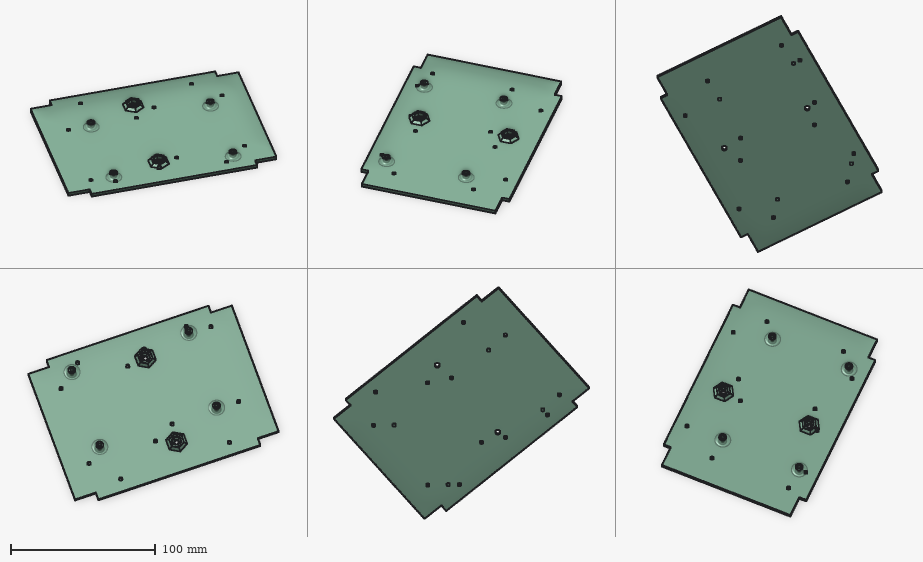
import cadquery as cq
import math

PLATE_LENGTH_X = 107.95
PLATE_LENGTH_Y = 149.9
PLATE_THICKNESS = 2.5
NOTCH_X = 5.3
NOTCH_Y = 15.3

SMALL_HOLE_DIAMETER = 2.4
BOARD_PITCH_X = 58.0
BOARD_PITCH_Y = 49.0
UPPER_BOARD_CENTER = (2.0, 32.5)
LOWER_BOARD_CENTER = (10.0, -31.5)
OUTER_PITCH_X = 90.0
OUTER_PITCH_Y = 80.0

POST_DIAMETER = 5.0
POST_HEIGHT = 4.0
POST_FLARE_RADIUS = 3.0
POST_HOLE_DIAMETER = 2.4
POST_PITCH_X = BOARD_PITCH_X
POST_PITCH_Y = 86.0
POST_CENTER = (11.0, 3.0)

BOSS_PITCH_X = 65.0
BOSS_Y = -5.5
BOSS_FLATS = 9.0
BOSS_FOOT_FLATS = 13.0
BOSS_HEIGHT = 3.0
BOSS_FOOT_HEIGHT = 2.0
NUT_FLATS = 6.0
NUT_POCKET_DEPTH = BOSS_HEIGHT
BOSS_HOLE_DIAMETER = 3.4


def rectangle_corners(center, pitch_x, pitch_y):
    """Four corner points of a rectangle around a center."""
    center_x, center_y = center
    return [
        (center_x + side_x * pitch_x / 2, center_y + side_y * pitch_y / 2)
        for side_x in (-1, 1)
        for side_y in (-1, 1)
    ]


def across_corners(across_flats):
    """Corner-to-corner size of a hexagon from its flat-to-flat size."""
    return across_flats / math.cos(math.pi / 6)


def make_plate():
    """Cross-shaped plate: a rectangle with all four corners notched."""
    wide = cq.Workplane("XY").box(
        PLATE_LENGTH_X, PLATE_LENGTH_Y - 2 * NOTCH_Y, PLATE_THICKNESS, centered=(True, True, False)
    )
    tall = cq.Workplane("XY").box(
        PLATE_LENGTH_X - 2 * NOTCH_X, PLATE_LENGTH_Y, PLATE_THICKNESS, centered=(True, True, False)
    )
    return wide.union(tall).clean()


def make_post():
    """Solid flared post on the Z axis, rooted through the plate thickness."""
    radius = POST_DIAMETER / 2
    flare_outer = radius + POST_FLARE_RADIUS
    flare_top = PLATE_THICKNESS + POST_FLARE_RADIUS
    arc_offset = POST_FLARE_RADIUS * math.cos(math.pi / 4)
    flare_middle = (flare_outer - arc_offset, flare_top - arc_offset)
    return (
        cq.Workplane("XZ")
        .lineTo(flare_outer, 0)
        .lineTo(flare_outer, PLATE_THICKNESS)
        .threePointArc(flare_middle, (radius, flare_top))
        .lineTo(radius, PLATE_THICKNESS + POST_HEIGHT)
        .lineTo(0, PLATE_THICKNESS + POST_HEIGHT)
        .close()
        .revolve(360, (0, 0, 0), (0, 1, 0))
    )


def make_boss():
    """Hexagonal boss on the Z axis, standing on the plate, without its openings."""
    foot = (
        cq.Workplane("XY", origin=(0, 0, PLATE_THICKNESS))
        .polygon(6, across_corners(BOSS_FOOT_FLATS))
        .workplane(offset=BOSS_FOOT_HEIGHT)
        .polygon(6, across_corners(BOSS_FLATS))
        .loft(ruled=True)
    )
    rim = (
        cq.Workplane("XY", origin=(0, 0, PLATE_THICKNESS + BOSS_FOOT_HEIGHT))
        .polygon(6, across_corners(BOSS_FLATS))
        .extrude(BOSS_HEIGHT - BOSS_FOOT_HEIGHT)
    )
    return foot.union(rim)


def add_copies(body, shape, points):
    """Body joined with a copy of the shape at each XY point."""
    for x, y in points:
        body = body.union(shape.translate((x, y, 0)))
    return body


def through_holes(diameter, points):
    """Cylinders that pass through the plate and everything standing on it."""
    full_height = PLATE_THICKNESS + max(POST_HEIGHT, BOSS_HEIGHT)
    return cq.Workplane("XY").pushPoints(points).circle(diameter / 2).extrude(full_height)


def nut_pockets(points):
    """Hexagonal pockets sunk from the top of the bosses."""
    boss_top = PLATE_THICKNESS + BOSS_HEIGHT
    return (
        cq.Workplane("XY", origin=(0, 0, boss_top))
        .pushPoints(points)
        .polygon(6, across_corners(NUT_FLATS))
        .extrude(-NUT_POCKET_DEPTH)
    )


small_hole_points = (
    rectangle_corners(UPPER_BOARD_CENTER, BOARD_PITCH_X, BOARD_PITCH_Y)
    + rectangle_corners(LOWER_BOARD_CENTER, BOARD_PITCH_X, BOARD_PITCH_Y)
    + rectangle_corners((0, 0), OUTER_PITCH_X, OUTER_PITCH_Y)
)
post_points = rectangle_corners(POST_CENTER, POST_PITCH_X, POST_PITCH_Y)
boss_points = [(side * BOSS_PITCH_X / 2, BOSS_Y) for side in (-1, 1)]

result = make_plate()
result = add_copies(result, make_post(), post_points)
result = add_copies(result, make_boss(), boss_points)
result = result.cut(nut_pockets(boss_points))
result = result.cut(through_holes(BOSS_HOLE_DIAMETER, boss_points))
result = result.cut(through_holes(POST_HOLE_DIAMETER, post_points))
result = result.cut(through_holes(SMALL_HOLE_DIAMETER, small_hole_points))